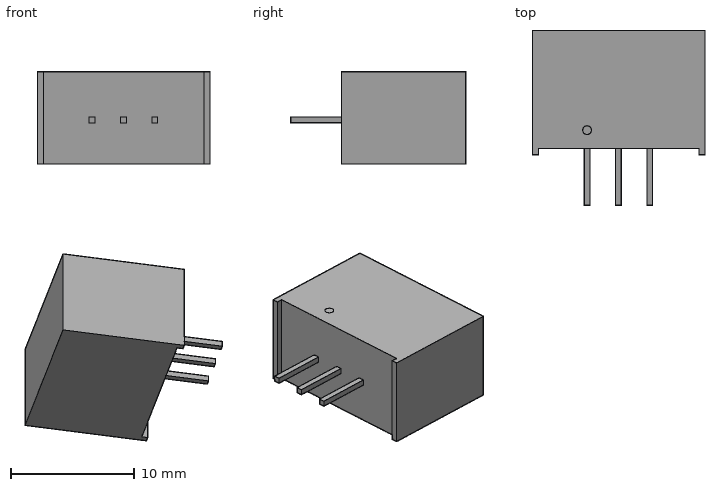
import cadquery as cq

housing_width = 14.0
housing_depth = 10.1
housing_height = 7.5
rim_width = 0.5
rim_depth = 0.5

overall_depth = 14.2
pin_count = 3
pin_size = 0.48
pin_pitch = 2.54
pin_row_offset_x = -0.03
pin_row_offset_z = -0.15

marker_diameter = 0.71
marker_thickness = 0.1
marker_setback = 1.5

recess_y = rim_depth
pin_tip_y = housing_depth - overall_depth
pin_length = recess_y - pin_tip_y
top_z = housing_height / 2
first_pin_x = pin_row_offset_x - pin_pitch * (pin_count - 1) / 2
marker_y = recess_y + marker_setback


def make_marker():
    """Thin disc whose upper face lies in the top face of the housing."""
    return (
        cq.Workplane("XY")
        .workplane(offset=top_z - marker_thickness)
        .center(first_pin_x, marker_y)
        .circle(marker_diameter / 2)
        .extrude(marker_thickness)
    )


def make_housing():
    """Block with a full-height front recess and a pocket for the marker."""
    block = cq.Workplane("XY").box(
        housing_width, housing_depth, housing_height, centered=(True, False, True)
    )
    recess = cq.Workplane("XY").box(
        housing_width - 2 * rim_width, rim_depth, housing_height, centered=(True, False, True)
    )
    return block.cut(recess).cut(make_marker())


def make_pin(x):
    """Square pin at the given X, from its tip back to the recessed face."""
    return (
        cq.Workplane("XY")
        .box(pin_size, pin_length, pin_size, centered=(True, False, True))
        .translate((x, pin_tip_y, pin_row_offset_z))
    )


housing = make_housing()
marker = make_marker()
pins = [make_pin(first_pin_x + i * pin_pitch) for i in range(pin_count)]

result = cq.Compound.makeCompound(
    [housing.val(), marker.val(), *[pin.val() for pin in pins]]
)